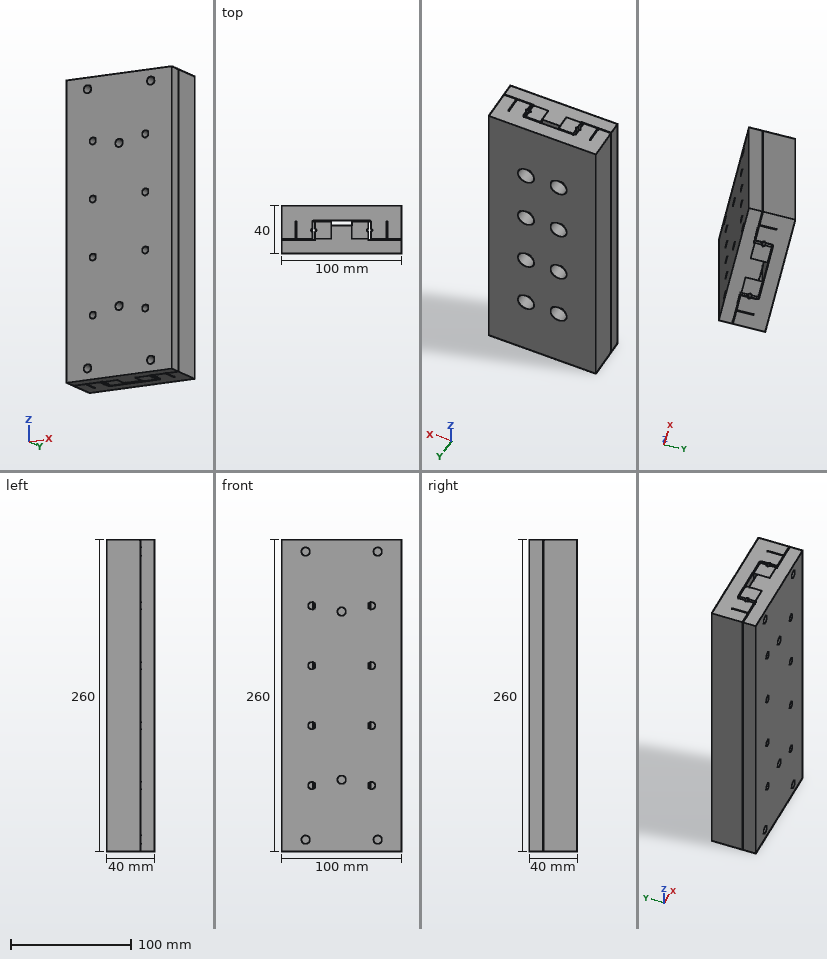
import cadquery as cq

WIDTH = 100.0
HEIGHT = 40.0
LENGTH = 260.0

MOUNT_FACE_Y = -HEIGHT / 2

PLATE_HEIGHT = 11.5
SEAT_HEIGHT = 12.2
RIB_WIDTH = 17.0
RIB_HEIGHT = 23.7

RAIL_WIDTH = 13.8
RAIL_HEIGHT = 14.5
RAIL_INNER_X = RIB_WIDTH / 2
RAIL_OUTER_X = RAIL_INNER_X + RAIL_WIDTH
RAIL_TOP = SEAT_HEIGHT + RAIL_HEIGHT

CARRIAGE_BOTTOM = SEAT_HEIGHT
RAIL_SIDE_GAP = 1.8
RAIL_TOP_GAP = 0.5
CHANNEL_HALF_WIDTH = RAIL_OUTER_X + RAIL_SIDE_GAP
CHANNEL_ROOF = RAIL_TOP + RAIL_TOP_GAP
CHANNEL_CORNER_RADIUS = 1.3
CHANNEL_END_CHAMFER = 0.5
SLIT_X = 38.0
SLIT_WIDTH = 0.8
SLIT_DEPTH = 14.5

GROOVE_DEPTH = 1.0
GROOVE_HALF_HEIGHT = 1.5
GROOVE_HEIGHT = SEAT_HEIGHT + RAIL_HEIGHT / 2
RAIL_GROOVE_END_CHAMFER = 0.3

HOLE_ROWS = 4
HOLE_ROW_PITCH = 50.0
SMALL_HOLE_DIAMETER = 6.0
SMALL_HOLE_SPACING_X = 50.0
ACCESS_HOLE_DIAMETER = 15.0
ACCESS_HOLE_SPACING_X = 30.5

LARGE_HOLE_DIAMETER = 7.0
CORNER_HOLE_SPACING_X = 60.0
CORNER_HOLE_SPACING_Z = 240.0
RIB_HOLE_SPACING_Z = 140.1

SIDES = (-1, 1)
ENDS = (-1, 1)
SELECT_MARGIN = 0.13


def bar(x_a, x_b, bottom, top):
    """Full-length bar between two X positions and two heights."""
    return (
        cq.Workplane("XY", origin=((x_a + x_b) / 2, MOUNT_FACE_Y + (bottom + top) / 2, 0))
        .box(abs(x_b - x_a), top - bottom, LENGTH)
    )


def v_groove(face_x, direction):
    """Full-length V cutter that sinks into the face at face_x along +X or -X."""
    return (
        cq.Workplane("XY", origin=(face_x, MOUNT_FACE_Y + GROOVE_HEIGHT, -LENGTH / 2))
        .polyline(
            [(0, -GROOVE_HALF_HEIGHT), (direction * GROOVE_DEPTH, 0), (0, GROOVE_HALF_HEIGHT)]
        )
        .close()
        .extrude(LENGTH)
    )


def hole_cutters(diameter, spots):
    """Cylinders through the whole height of the slide at the given (X, Z) spots."""
    return (
        cq.Workplane("XZ", origin=(0, MOUNT_FACE_Y, 0))
        .pushPoints(spots)
        .circle(diameter / 2)
        .extrude(-HEIGHT)
    )


def row_spots(spacing_x):
    """Two columns of holes, one spot in each of the shared rows."""
    first_row_z = -HOLE_ROW_PITCH * (HOLE_ROWS - 1) / 2
    return [
        (side * spacing_x / 2, first_row_z + row * HOLE_ROW_PITCH)
        for side in SIDES
        for row in range(HOLE_ROWS)
    ]


def edges_near(x_a, x_b, bottom, top, z):
    """Selector of the edges centred between two X positions and two heights, at about z."""
    return cq.selectors.BoxSelector(
        (x_a, MOUNT_FACE_Y + bottom, z - SELECT_MARGIN),
        (x_b, MOUNT_FACE_Y + top, z + SELECT_MARGIN),
    )


def make_base():
    base = bar(-WIDTH / 2, WIDTH / 2, 0, PLATE_HEIGHT)
    base = base.union(bar(-RAIL_OUTER_X, RAIL_OUTER_X, 0, SEAT_HEIGHT))
    base = base.union(bar(-RIB_WIDTH / 2, RIB_WIDTH / 2, 0, RIB_HEIGHT))

    corner_spots = [
        (side * CORNER_HOLE_SPACING_X / 2, end * CORNER_HOLE_SPACING_Z / 2)
        for side in SIDES
        for end in ENDS
    ]
    rib_spots = [(0, end * RIB_HOLE_SPACING_Z / 2) for end in ENDS]
    base = base.cut(hole_cutters(SMALL_HOLE_DIAMETER, row_spots(SMALL_HOLE_SPACING_X)))
    return base.cut(hole_cutters(LARGE_HOLE_DIAMETER, corner_spots + rib_spots))


def make_rail(side):
    outer_x = side * RAIL_OUTER_X
    rail = bar(side * RAIL_INNER_X, outer_x, SEAT_HEIGHT, RAIL_TOP)
    rail = rail.cut(v_groove(outer_x, -side))

    groove_bottom_x = outer_x - side * GROOVE_DEPTH
    for end in ENDS:
        flanks = edges_near(
            min(groove_bottom_x, outer_x) + SELECT_MARGIN,
            max(groove_bottom_x, outer_x) - SELECT_MARGIN,
            GROOVE_HEIGHT - GROOVE_HALF_HEIGHT,
            GROOVE_HEIGHT + GROOVE_HALF_HEIGHT,
            end * LENGTH / 2,
        )
        rail = rail.edges(flanks).chamfer(RAIL_GROOVE_END_CHAMFER)
    return rail


def cut_channel(carriage):
    """Cut the grooved rail channel, round its roof corners and chamfer both its ends."""
    channel = bar(-CHANNEL_HALF_WIDTH, CHANNEL_HALF_WIDTH, CARRIAGE_BOTTOM, CHANNEL_ROOF)
    channel = channel.edges("|Z and >Y").fillet(CHANNEL_CORNER_RADIUS)
    for side in SIDES:
        channel = channel.union(v_groove(side * CHANNEL_HALF_WIDTH, side))
    carriage = carriage.cut(channel)

    reach = CHANNEL_HALF_WIDTH + GROOVE_DEPTH
    for end in ENDS:
        outline = edges_near(
            -reach, reach, CARRIAGE_BOTTOM, CHANNEL_ROOF + SELECT_MARGIN, end * LENGTH / 2
        )
        carriage = carriage.edges(outline).chamfer(CHANNEL_END_CHAMFER)
    return carriage


def make_carriage():
    carriage = cut_channel(bar(-WIDTH / 2, WIDTH / 2, CARRIAGE_BOTTOM, HEIGHT))

    slit_top = CARRIAGE_BOTTOM + SLIT_DEPTH
    for side in SIDES:
        slit_x = side * SLIT_X
        slit = bar(slit_x - SLIT_WIDTH / 2, slit_x + SLIT_WIDTH / 2, CARRIAGE_BOTTOM, slit_top)
        carriage = carriage.cut(slit)

    return carriage.cut(hole_cutters(ACCESS_HOLE_DIAMETER, row_spots(ACCESS_HOLE_SPACING_X)))


base = make_base()
rails = [make_rail(side) for side in SIDES]
carriage = make_carriage()

result = cq.Compound.makeCompound(
    [base.val(), *[rail.val() for rail in rails], carriage.val()]
)